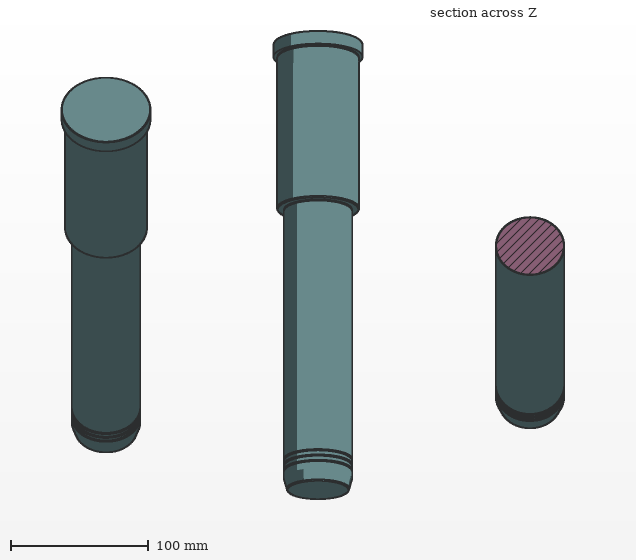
import cadquery as cq

total_length = 340.0
head_diameter = 65.0
head_height = 10.0
head_chamfer = 0.5
collar_radius = 30.0
collar_bottom = 214.0
collar_chamfer_width = 0.7
collar_chamfer_height = 1.0
shaft_diameter = 50.0

tip_radius = 22.0
tip_chamfer_radius = 22.8
tip_chamfer_height = 1.0
lead_in_height = 9.0

groove_count = 3
groove_width = 1.0
groove_depth = 0.5
groove_pitch = 4.0
first_groove_height = 14.3

relief_width = 1.0
relief_depth = 0.5

head_radius = head_diameter / 2
shaft_radius = shaft_diameter / 2
head_bottom = total_length - head_height


def make_body():
    """Revolve the stepped outline, from the tip up to the head."""
    outline = (
        cq.Workplane("XZ")
        .lineTo(tip_radius, 0)
        .lineTo(tip_chamfer_radius, tip_chamfer_height)
        .lineTo(shaft_radius, lead_in_height)
        .lineTo(shaft_radius, collar_bottom)
        .lineTo(collar_radius - collar_chamfer_width, collar_bottom)
        .lineTo(collar_radius, collar_bottom + collar_chamfer_height)
        .lineTo(collar_radius, head_bottom)
        .lineTo(head_radius, head_bottom)
        .lineTo(head_radius, total_length - head_chamfer)
        .lineTo(head_radius - head_chamfer, total_length)
        .lineTo(0, total_length)
        .close()
    )
    return outline.revolve(360, (0, 0, 0), (0, 1, 0))


def make_groove(bottom, width, surface_radius, depth):
    """Ring of material removed by one groove, cut in from the given surface radius."""
    return (
        cq.Workplane("XY", origin=(0, 0, bottom))
        .circle(head_radius)
        .circle(surface_radius - depth)
        .extrude(width)
    )


pillar = make_body()

for index in range(groove_count):
    groove_bottom = first_groove_height + index * groove_pitch
    pillar = pillar.cut(make_groove(groove_bottom, groove_width, shaft_radius, groove_depth))

for step_height, radius in ((head_bottom, collar_radius), (collar_bottom, shaft_radius)):
    pillar = pillar.cut(make_groove(step_height - relief_width, relief_width, radius, relief_depth))

result = pillar